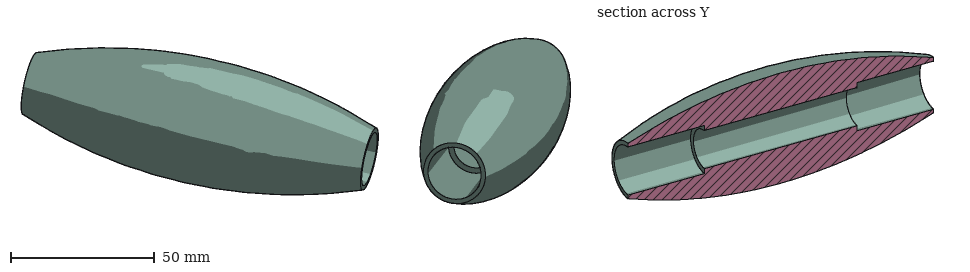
import cadquery as cq

length = 123.0
middle_diameter = 44.0
end_diameter = 22.1

through_diameter = 15.0
counterbore_diameter = 19.0
counterbore_depth = 30.8

half_length = length / 2
end_radius = end_diameter / 2

barrel = (
    cq.Workplane("XY")
    .moveTo(-half_length, 0)
    .lineTo(-half_length, end_radius)
    .threePointArc((0, middle_diameter / 2), (half_length, end_radius))
    .lineTo(half_length, 0)
    .close()
    .revolve(360, (0, 0, 0), (1, 0, 0))
)

result = barrel
for end_face in ("<X", ">X"):
    result = (
        result.faces(end_face)
        .workplane(centerOption="CenterOfBoundBox")
        .cboreHole(through_diameter, counterbore_diameter, counterbore_depth)
    )